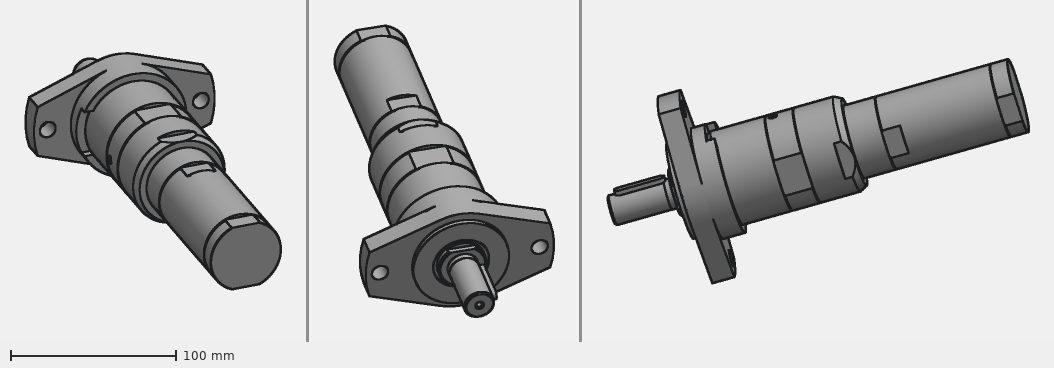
import cadquery as cq
import math


collar_start = 39.8
pilot_start = 43.5
flange_start = 46.8
flange_end = 60.7
boss_end = 74.5
waist_start = 105.5
waist_end = 124.0
cap_start = 144.2
cap_cone_start = 148.8
motor_start = 153.5
band_start = 173.2
band_end = 185.0
end_band_start = 245.7
total_length = 257.0

shaft_d = 18.8
shaft_seat_d = 19.0
shaft_seat_start = 35.7
shaft_chamfer = 1.0
key_start = 5.1
key_length = 31.9
key_width = 6.0
key_top = 12.0
centre_mouth_d = 5.5
centre_drill_d = 3.5
centre_depth = 7.7
drill_tip_half_angle = 59

collar_d = 30.0
collar_across_flats = 24.2
collar_chamfer = 1.0
recess_d = 35.0
recess_depth = 1.3

boss_d = 70.0
flange_width = 118.0
flange_corner_z = 16.7
bolt_spacing = 100.0
bolt_hole_d = 10.3

notch_start = 69.5
notch_width = 30.0
neck_end = 71.5
neck_d = 58.0

body_d = 60.0
body_across_flats = 55.0
cap_end_d = 55.0
port_x = 110.8
port_mouth_d = 5.5
port_d = 3.5
port_depth = 5.1

motor_d = 46.0
motor_across_flats = 42.1
motor_chamfer = 0.3

groove_width = 0.5
groove_depth = 0.3


def cylinder(start, end, diameter):
    """Cylinder on the X axis from start to end."""
    return cq.Workplane("YZ", origin=(start, 0, 0)).circle(diameter / 2).extrude(end - start)


def ring(start, end, outer_d, inner_d):
    """Tube on the X axis, used as a cutter."""
    return cylinder(start, end, outer_d).cut(cylinder(start, end, inner_d))


def with_flats(solid, start, end, across):
    """Cut flats facing +Z and -Z on the stretch from start to end."""
    for side in (1, -1):
        cutter = cq.Workplane("XY").box(end - start, body_d, body_d, centered=(False, True, True))
        solid = solid.cut(cutter.translate((start, 0, side * (across + body_d) / 2)))
    return solid


def drilled_hole(mouth_d, drill_d, depth):
    """Cutter along +X from the origin: 90 degree countersink, bore and conical tip."""
    sink = (mouth_d - drill_d) / 2
    tip = drill_d / 2 / math.tan(math.radians(drill_tip_half_angle))
    profile = (
        cq.Workplane("XY")
        .polyline([(0, 0), (0, mouth_d / 2), (sink, drill_d / 2), (depth, drill_d / 2), (depth + tip, 0)])
        .close()
    )
    return profile.revolve(360, (0, 0, 0), (1, 0, 0))


def make_shaft():
    shaft = cylinder(0, shaft_seat_start, shaft_d).faces("<X").chamfer(shaft_chamfer)
    shaft = shaft.union(cylinder(shaft_seat_start, flange_start, shaft_seat_d))
    key = (
        cq.Workplane("XZ")
        .center(key_start + key_length / 2, 0)
        .slot2D(key_length, key_width)
        .extrude(key_top)
    )
    return shaft.union(key).cut(drilled_hole(centre_mouth_d, centre_drill_d, centre_depth))


def make_collar():
    collar = cylinder(collar_start, flange_start, collar_d).faces("<X").chamfer(collar_chamfer)
    return with_flats(collar, collar_start, pilot_start, collar_across_flats)


def make_flange():
    """Plate whose straight sides run from the end corners tangent to the boss."""
    boss_r = boss_d / 2
    end_r = flange_width / 2
    corner_angle = math.asin(flange_corner_z / end_r)
    tangent_angle = corner_angle + math.acos(boss_r / end_r)
    corner_y = end_r * math.cos(corner_angle)
    touch_y = boss_r * math.cos(tangent_angle)
    touch_z = boss_r * math.sin(tangent_angle)
    plate = (
        cq.Workplane("YZ", origin=(flange_start, 0, 0))
        .moveTo(corner_y, -flange_corner_z)
        .threePointArc((end_r, 0), (corner_y, flange_corner_z))
        .lineTo(touch_y, touch_z)
        .threePointArc((0, boss_r), (-touch_y, touch_z))
        .lineTo(-corner_y, flange_corner_z)
        .threePointArc((-end_r, 0), (-corner_y, -flange_corner_z))
        .lineTo(-touch_y, -touch_z)
        .threePointArc((0, -boss_r), (touch_y, -touch_z))
        .close()
        .extrude(flange_end - flange_start)
    )
    holes = (
        cq.Workplane("YZ", origin=(flange_start, 0, 0))
        .pushPoints([(bolt_spacing / 2, 0), (-bolt_spacing / 2, 0)])
        .circle(bolt_hole_d / 2)
        .extrude(flange_end - flange_start)
    )
    return plate.cut(holes).union(cylinder(flange_end, boss_end, boss_d))


def make_body():
    body = cylinder(pilot_start, cap_cone_start, body_d)
    body = body.cut(cylinder(pilot_start, pilot_start + recess_depth, recess_d))
    cone = (
        cq.Workplane("YZ", origin=(cap_cone_start, 0, 0))
        .circle(body_d / 2)
        .workplane(offset=motor_start - cap_cone_start)
        .circle(cap_end_d / 2)
        .loft()
    )
    body = body.union(cone)
    for start, end in ((waist_start, waist_end), (cap_start, motor_start)):
        body = with_flats(body, start, end, body_across_flats)
    for start in (waist_start, waist_end - groove_width):
        body = body.cut(ring(start, start + groove_width, body_d, body_d - 2 * groove_depth))
    port = drilled_hole(port_mouth_d, port_d, port_depth).rotate((0, 0, 0), (0, 0, 1), 90)
    return body.cut(port.translate((port_x, -body_d / 2, 0)))


def make_motor():
    motor = cylinder(motor_start, total_length, motor_d).faces(">X").chamfer(motor_chamfer)
    for start, end in ((band_start, band_end), (end_band_start, total_length)):
        motor = with_flats(motor, start, end, motor_across_flats)
        motor = motor.cut(ring(start, start + groove_width, motor_d, motor_d - 2 * groove_depth))
    return motor


def cut_notch(solid):
    """Open the boss down to the body, with a narrow neck groove at the notch wall."""
    notch_length = boss_end - notch_start
    notch = cq.Workplane("XY").box(notch_length, boss_d, notch_width, centered=(False, False, True))
    notch = notch.translate((notch_start, -boss_d, 0))
    opening = ring(notch_start, boss_end, boss_d, body_d)
    neck = ring(notch_start, neck_end, boss_d, neck_d)
    return solid.cut(notch.intersect(opening.union(neck)))


result = cut_notch(make_body().union(make_flange()))
result = result.union(make_motor()).union(make_collar()).union(make_shaft())